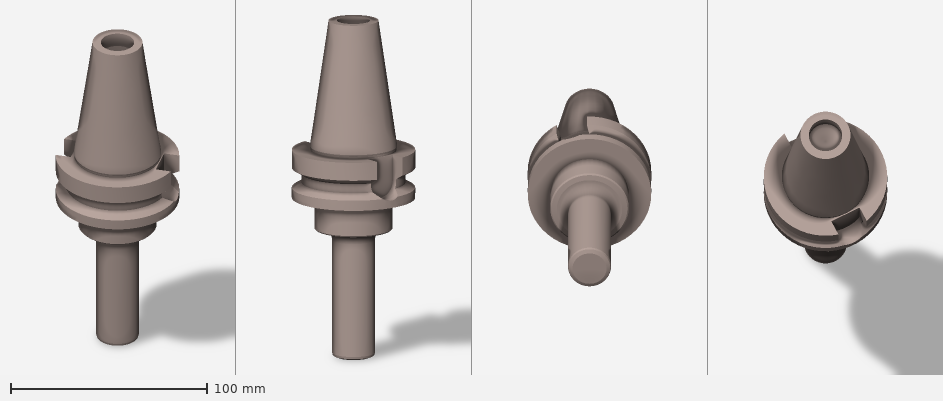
import cadquery as cq
import math

overall_length = 175.4
taper_length = 65.5
neck_length = 2.0
flange_thickness = 25.0
nose_length = 17.0
taper_bottom = overall_length - taper_length
flange_top = taper_bottom - neck_length
flange_bottom = flange_top - flange_thickness
nose_bottom = flange_bottom - nose_length

taper_large_diameter = 44.5
taper_ratio = 7 / 24
taper_small_diameter = taper_large_diameter - taper_length * taper_ratio
neck_diameter = 44.0
neck_cone_height = 0.9

flange_diameter = 63.0
groove_diameter = 53.1
groove_center_depth = 14.5
groove_floor_width = 4.7
groove_flank_angle = 30.0

nose_diameter = 40.0
nose_chamfer_height = 0.7
nose_chamfer_width = 0.7
nose_face_diameter = 33.3
nose_face_cone_height = 0.5
shank_diameter = 22.0
shank_fillet = 4.9
shank_chamfer_height = 1.2
shank_chamfer_width = 0.4
shank_end_diameter = 17.4
shank_end_cone_height = 0.9

slot_width = 16.1
slot_depth = 21.2
slot_floor_offset = 22.5

bore_diameter = 17.0
bore_depth = 7.4
step_diameter = 14.0
step_height = 0.7
end_cone_angle = 150.0


def make_body():
    """Revolve the solid outline of the holder about Z."""
    flange_radius = flange_diameter / 2
    groove_radius = groove_diameter / 2
    nose_radius = nose_diameter / 2
    shank_radius = shank_diameter / 2
    flank_height = (flange_radius - groove_radius) * math.tan(math.radians(groove_flank_angle))
    groove_center = flange_top - groove_center_depth
    floor_low = groove_center - groove_floor_width / 2
    floor_high = groove_center + groove_floor_width / 2
    nose_chamfer_bottom = nose_bottom + nose_face_cone_height
    arc_inset = shank_fillet * (1 - math.sqrt(0.5))

    outline = (
        cq.Workplane("XZ")
        .moveTo(0, 0)
        .lineTo(shank_end_diameter / 2, 0)
        .lineTo(shank_radius - shank_chamfer_width, shank_end_cone_height)
        .lineTo(shank_radius, shank_end_cone_height + shank_chamfer_height)
        .lineTo(shank_radius, nose_bottom - shank_fillet)
        .threePointArc(
            (shank_radius + arc_inset, nose_bottom - arc_inset),
            (shank_radius + shank_fillet, nose_bottom),
        )
        .lineTo(nose_face_diameter / 2, nose_bottom)
        .lineTo(nose_radius - nose_chamfer_width, nose_chamfer_bottom)
        .lineTo(nose_radius, nose_chamfer_bottom + nose_chamfer_height)
        .lineTo(nose_radius, flange_bottom)
        .lineTo(flange_radius, flange_bottom)
        .lineTo(flange_radius, floor_low - flank_height)
        .lineTo(groove_radius, floor_low)
        .lineTo(groove_radius, floor_high)
        .lineTo(flange_radius, floor_high + flank_height)
        .lineTo(flange_radius, flange_top)
        .lineTo(neck_diameter / 2, flange_top)
        .lineTo(neck_diameter / 2, taper_bottom - neck_cone_height)
        .lineTo(taper_large_diameter / 2, taper_bottom)
        .lineTo(taper_small_diameter / 2, overall_length)
        .lineTo(0, overall_length)
        .close()
    )
    return outline.revolve(360, (0, 0, 0), (0, 1, 0))


def make_drive_slot(side):
    """Round-bottomed slot cutter on the +X (side=1) or -X (side=-1) side."""
    slot_radius = slot_width / 2
    arc_center = flange_top - slot_depth + slot_radius
    return (
        cq.Workplane("YZ", origin=(side * slot_floor_offset, 0, 0))
        .moveTo(-slot_radius, flange_top)
        .lineTo(-slot_radius, arc_center)
        .threePointArc((0, flange_top - slot_depth), (slot_radius, arc_center))
        .lineTo(slot_radius, flange_top)
        .close()
        .extrude(side * flange_diameter / 2)
    )


def make_bore():
    """Blind bore with a conical step and a shallow conical end."""
    bore_radius = bore_diameter / 2
    step_radius = step_diameter / 2
    step_top = overall_length - bore_depth
    step_bottom = step_top - step_height
    end_cone_height = step_radius / math.tan(math.radians(end_cone_angle / 2))
    return (
        cq.Workplane("XZ")
        .moveTo(0, overall_length)
        .lineTo(bore_radius, overall_length)
        .lineTo(bore_radius, step_top)
        .lineTo(step_radius, step_bottom)
        .lineTo(0, step_bottom - end_cone_height)
        .close()
        .revolve(360, (0, 0, 0), (0, 1, 0))
    )


result = make_body().cut(make_bore())
for side in (-1, 1):
    result = result.cut(make_drive_slot(side))